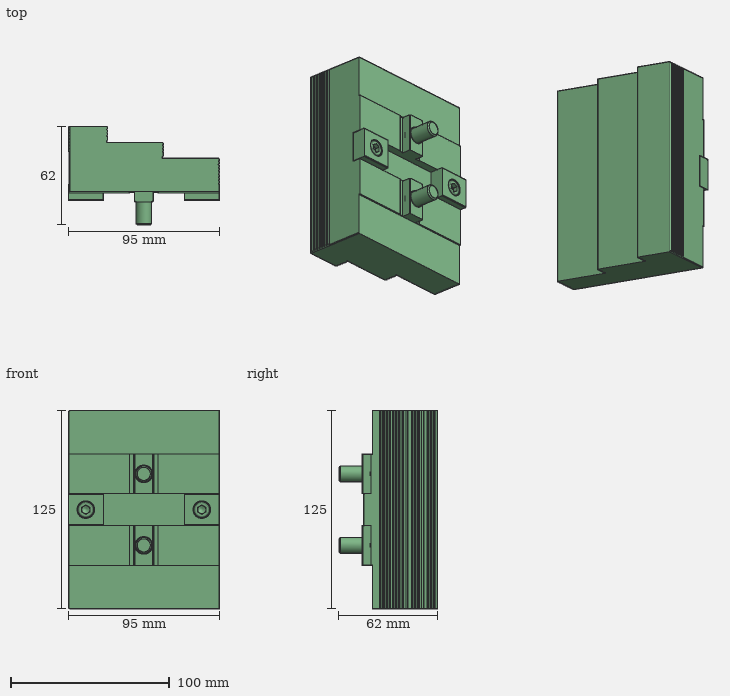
import cadquery as cq
import math

WIDTH = 95.0
HEIGHT = 125.0
DEPTH = 62.0
HALF_W = WIDTH / 2
HALF_H = HEIGHT / 2
REAR_Y = DEPTH / 2

STEP_DROP = 10.0
BLOCK_DEPTH = 41.0
PAD_DEPTH = 42.0
RELIEF_DEPTH = 41.5
SLOT_FLOOR_DEPTH = 36.5
KEY_DEPTH = 46.5
TENON_DEPTH = 47.5

PITCH = 2.0
TOOTH = 0.5
GROOVE_WIDTH = 1.0
CORNER_ROUND = 1.0
LONG_TEETH = 8
STEP_TEETH = 4
LAST_STEP_TOOTH = 3.0
ROUND_INSET = CORNER_ROUND * (1 - math.sqrt(0.5))
STEP_1_X = -22.8
STEP_2_X = 12.2

PAD_HEIGHT = 70.0
SLOT_HEIGHT = 20.0
RELIEF_WIDTH = 18.0
TENON_WIDTH = 12.0
TENON_HEIGHT = (PAD_HEIGHT - SLOT_HEIGHT) / 2
KEY_WIDTH = 22.0
EDGE_CHAMFER = 0.5

PIN_DIAMETER = 10.0
PIN_CHAMFER = 0.9
HOLE_DIAMETER = 11.0
GAP_DEPTH = 5.0
HEAD_DIAMETER = 10.0
HEAD_ROUND = 0.6
HEAD_GAP_DEPTH = 5.0
SOCKET_FLATS = 5.1
SOCKET_DEPTH = 3.0
SOCKET_CONE_DEPTH = 1.2

PIN_Z = (PAD_HEIGHT + SLOT_HEIGHT) / 4
KEY_X = HALF_W - KEY_WIDTH / 2


def y_at(depth):
    """Y of a depth below the rear face."""
    return REAR_Y - depth


def front_plane(x, depth, z):
    """Plane facing the front (-Y) at a given depth."""
    return cq.Plane(origin=(x, y_at(depth), z), xDir=(1, 0, 0), normal=(0, -1, 0))


def slab(x_min, x_max, rear_depth, front_depth, height, z=0.0):
    """Block between two depths, centred on z."""
    size_x = x_max - x_min
    size_y = front_depth - rear_depth
    centre = (x_min + size_x / 2, y_at(rear_depth + size_y / 2), z)
    return cq.Workplane("XY").box(size_x, size_y, height).translate(centre)


def teeth(tip_x, outward, top_depth, count, last_length=PITCH):
    """Points down a serrated face, starting where the rounded corner meets the first flat."""
    root_x = tip_x - outward * TOOTH
    slope = GROOVE_WIDTH / 2
    points = []
    for i in range(count):
        start = top_depth + i * PITCH
        end = start + (last_length if i == count - 1 else PITCH)
        flat_start = start + (CORNER_ROUND if i == 0 else slope)
        points.append((tip_x, y_at(flat_start)))
        points.append((tip_x, y_at(end - slope)))
        points.append((root_x, y_at(end)))
    return points


def step_face(outline, tip_x, top_depth, face_points):
    """Continue an outline along a step top, around its corner and down its face."""
    outline = outline.lineTo(tip_x - CORNER_ROUND, y_at(top_depth))
    middle = (tip_x - ROUND_INSET, y_at(top_depth + ROUND_INSET))
    outline = outline.threePointArc(middle, face_points[0])
    for x, y in face_points[1:]:
        outline = outline.lineTo(x, y)
    return outline


def stepped_block():
    face_1 = teeth(STEP_1_X, 1, 0.0, STEP_TEETH, LAST_STEP_TOOTH)
    face_1.append((STEP_1_X - TOOTH, y_at(STEP_DROP)))
    face_2 = teeth(STEP_2_X, 1, STEP_DROP, STEP_TEETH, LAST_STEP_TOOTH)
    face_2.append((STEP_2_X - TOOTH, y_at(2 * STEP_DROP)))

    face_3 = teeth(HALF_W, 1, 2 * STEP_DROP, LONG_TEETH)
    last_groove_end = 2 * STEP_DROP + LONG_TEETH * PITCH + GROOVE_WIDTH / 2
    face_3.append((HALF_W, y_at(last_groove_end)))
    face_3.append((HALF_W, y_at(BLOCK_DEPTH)))
    face_3.append((TOOTH - HALF_W, y_at(BLOCK_DEPTH)))
    face_3 += reversed(teeth(-HALF_W, -1, 0.0, LONG_TEETH))

    rear_start = (CORNER_ROUND - HALF_W, REAR_Y)
    outline = cq.Workplane("XY").moveTo(*rear_start)
    outline = step_face(outline, STEP_1_X, 0.0, face_1)
    outline = step_face(outline, STEP_2_X, STEP_DROP, face_2)
    outline = step_face(outline, HALF_W, 2 * STEP_DROP, face_3)
    outline = outline.threePointArc((ROUND_INSET - HALF_W, y_at(ROUND_INSET)), rear_start)
    return outline.close().extrude(HALF_H, both=True)


def end_bevels():
    """45-degree bevels along the -X edges of both ends."""
    leg = TOOTH + EDGE_CHAMFER
    bevels = cq.Workplane("XY")
    for side in (1, -1):
        corner = [
            (-HALF_W, side * HALF_H),
            (leg - HALF_W, side * HALF_H),
            (-HALF_W, side * (HALF_H - leg)),
        ]
        outline = cq.Workplane(front_plane(0, 0, 0)).polyline(corner).close()
        bevels = bevels.add(outline.extrude(BLOCK_DEPTH))
    return bevels.combine()


def key(x):
    blank = slab(x - KEY_WIDTH / 2, x + KEY_WIDTH / 2, SLOT_FLOOR_DEPTH, KEY_DEPTH, SLOT_HEIGHT)
    return blank.faces("<Y").edges("|X").chamfer(EDGE_CHAMFER)


def tenon(z):
    blank = slab(-TENON_WIDTH / 2, TENON_WIDTH / 2, SLOT_FLOOR_DEPTH, TENON_DEPTH, TENON_HEIGHT, z)
    return blank.faces("<Y").edges("|Z").chamfer(EDGE_CHAMFER)


def tenon_seat_bevels(z):
    """V-shaped cut that breaks the seat edges along both sides of a tenon."""
    half = TENON_WIDTH / 2
    outline = [
        (-half - EDGE_CHAMFER, y_at(RELIEF_DEPTH)),
        (half + EDGE_CHAMFER, y_at(RELIEF_DEPTH)),
        (half, y_at(RELIEF_DEPTH - EDGE_CHAMFER)),
        (-half, y_at(RELIEF_DEPTH - EDGE_CHAMFER)),
    ]
    start = cq.Workplane("XY", origin=(0, 0, z - TENON_HEIGHT / 2))
    return start.polyline(outline).close().extrude(TENON_HEIGHT)


def pin_clearance(z):
    """Ring-shaped gap between a pin and the hole in its tenon."""
    ring = cq.Workplane(front_plane(0, TENON_DEPTH, z)).circle(HOLE_DIAMETER / 2).circle(PIN_DIAMETER / 2)
    return ring.extrude(-GAP_DEPTH)


def pin(z):
    root = TENON_DEPTH - GAP_DEPTH
    stud = cq.Workplane(front_plane(0, root, z)).circle(PIN_DIAMETER / 2).extrude(DEPTH - root)
    return stud.faces("<Y").chamfer(PIN_CHAMFER)


def screw_recess(x):
    """Clearance, rounded head rim and hexagon socket of one key screw."""
    plane = front_plane(x, KEY_DEPTH, 0)
    head = cq.Workplane(plane).circle(HEAD_DIAMETER / 2).extrude(-HEAD_GAP_DEPTH)
    head = head.faces("<Y").edges().fillet(HEAD_ROUND)
    across_corners = SOCKET_FLATS / math.cos(math.pi / 6)
    socket = cq.Workplane(plane).transformed(rotate=(0, 0, 30))
    socket = socket.polygon(6, across_corners).extrude(-SOCKET_DEPTH)
    cone = cq.Solid.makeCone(
        SOCKET_FLATS / 2,
        0,
        SOCKET_CONE_DEPTH,
        pnt=cq.Vector(x, y_at(KEY_DEPTH - SOCKET_DEPTH), 0),
        dir=cq.Vector(0, 1, 0),
    )
    pocket = cq.Workplane(plane).circle(HOLE_DIAMETER / 2).extrude(-HEAD_GAP_DEPTH)
    return pocket.cut(head).union(socket).union(cq.Workplane(cone))


result = stepped_block().cut(end_bevels())

pad = slab(TOOTH - HALF_W, HALF_W, SLOT_FLOOR_DEPTH, PAD_DEPTH, PAD_HEIGHT)
relief = slab(-RELIEF_WIDTH / 2, RELIEF_WIDTH / 2, RELIEF_DEPTH, PAD_DEPTH, PAD_HEIGHT)
key_slot = slab(-HALF_W, HALF_W, SLOT_FLOOR_DEPTH, PAD_DEPTH, SLOT_HEIGHT)
result = result.union(pad).cut(relief).cut(key_slot)

for side in (1, -1):
    result = result.union(key(side * KEY_X)).cut(screw_recess(side * KEY_X))
    z = side * PIN_Z
    result = result.cut(tenon_seat_bevels(z)).union(tenon(z))
    result = result.cut(pin_clearance(z))
    result = result.union(pin(z))